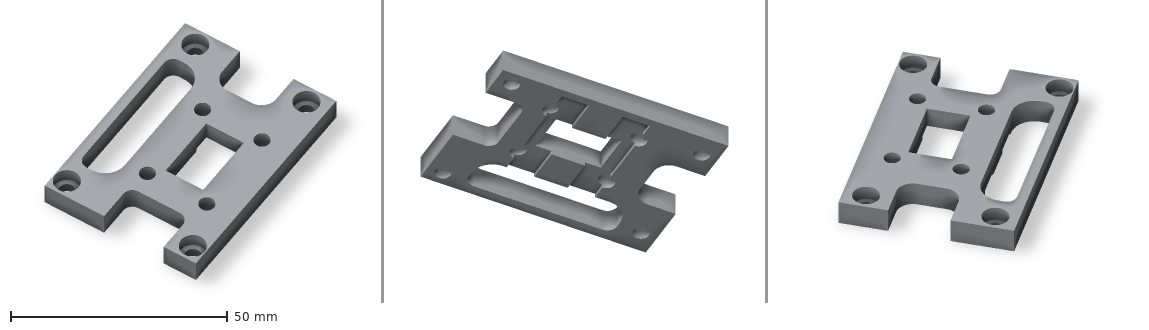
import cadquery as cq

width = 42.0
length = 58.5
thickness = 6.0

hole_diameter = 4.0
counterbore_diameter = 6.5
counterbore_depth = 3.5
upper_corner_y = 54.4
upper_corner_inset = 5.55
lower_corner_y = 4.0
lower_corner_inset = 3.5
inner_hole_spacing_x = 16.5
inner_hole_spacing_y = 23.0

window_center = (26.0, 27.7)
window_width = 10.4
window_length = 16.9

slot_left = 2.6
slot_right = 12.0
slot_bottom = 9.9
slot_top = 48.45
slot_outer_radius = 2.5
slot_inner_radius = 5.5

upper_notch_left = 15.2
upper_notch_right = 30.1
upper_notch_depth = 11.35
upper_notch_radius = 4.0
lower_notch_left = 16.5
lower_notch_right = 33.05
lower_notch_depth = 10.55
lower_notch_radius = 2.5

groove_depth = 1.0
groove_width = 7.15
groove_spacing = 15.8
groove_length = 2 * (window_center[0] - slot_right)


def block(left, right, bottom, top):
    """Box through the full thickness, given by its plan limits."""
    return (
        cq.Workplane("XY")
        .box(right - left, top - bottom, thickness, centered=False)
        .translate((left, bottom, 0))
    )


def make_slot():
    slot = block(slot_left, slot_right, slot_bottom, slot_top)
    slot = slot.faces("<X").edges("|Z").fillet(slot_outer_radius)
    return slot.faces(">X").edges("|Z").fillet(slot_inner_radius)


def make_upper_notch():
    notch = block(upper_notch_left, upper_notch_right, length - upper_notch_depth, length)
    return notch.faces("<Y").edges("|Z").fillet(upper_notch_radius)


def make_lower_notch():
    notch = block(lower_notch_left, lower_notch_right, 0, lower_notch_depth)
    return notch.faces(">Y").edges("|Z").fillet(lower_notch_radius)


def make_window():
    return (
        cq.Workplane("XY")
        .center(*window_center)
        .rect(window_width, window_length)
        .extrude(thickness)
    )


def make_grooves():
    """Grooves running across the plate from the slot, centred on the window."""
    return (
        cq.Workplane("XY")
        .center(*window_center)
        .rarray(0.6, groove_spacing, 1, 2)
        .rect(groove_length, groove_width)
        .extrude(groove_depth)
    )


corner_holes = [
    (upper_corner_inset, upper_corner_y),
    (width - upper_corner_inset, upper_corner_y),
    (lower_corner_inset, lower_corner_y),
    (width - lower_corner_inset, lower_corner_y),
]

plate = block(0, width, 0, length)
cutters = [make_slot(), make_upper_notch(), make_lower_notch(), make_window(), make_grooves()]
for cutter in cutters:
    plate = plate.cut(cutter)

top_plane = cq.Workplane("XY", origin=(0, 0, thickness))
plate = (
    plate.copyWorkplane(top_plane)
    .pushPoints(corner_holes)
    .cboreHole(hole_diameter, counterbore_diameter, counterbore_depth)
)
result = (
    plate.copyWorkplane(top_plane)
    .center(*window_center)
    .rarray(inner_hole_spacing_x, inner_hole_spacing_y, 2, 2)
    .hole(hole_diameter)
)